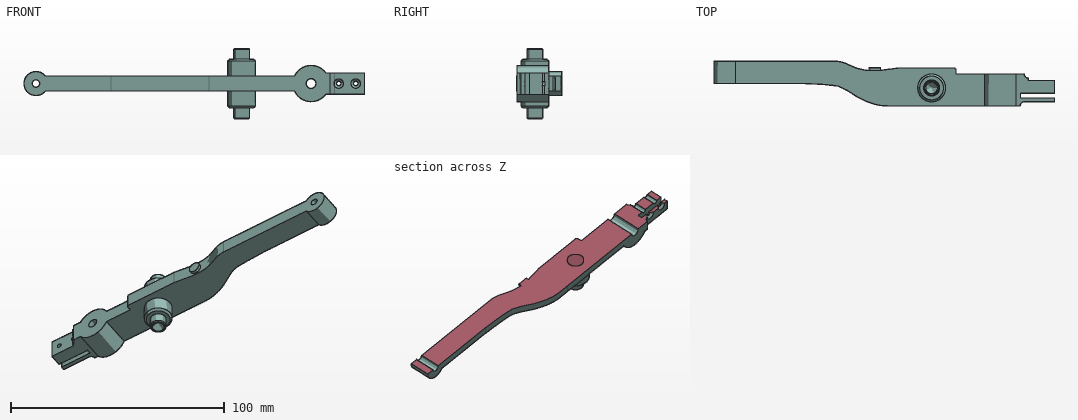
import cadquery as cq
import math

length = 159.5
arm_thickness = 7.2

grip_hub_diameter = 11.3
grip_hub_x = grip_hub_diameter / 2
grip_hole_diameter = 3.3
grip_bottom_y = 10.5
grip_top_y = 21.0
grip_top_end_x = 56.6
grip_bottom_end_x = 40.7

body_start_x = 86.6
body_top_y = 17.9
step_x = 113.4
step_chamfer = 0.8
valley_x = 75.3
valley_y = 16.6

pivot_x = 134.5
pivot_diameter = 17.0
pivot_hole_diameter = 4.5
pivot_top_y = 15.0

tail_height = 10.0
tail_root_x = 143.4
shoulder_radius = 1.9
tail_bottom_y = shoulder_radius
tail_top_y = 12.0
tail_top_root_x = 145.3
slot_start_x = 143.5
slot_bottom_y = 3.8
slot_top_y = 5.9
screw_hole_diameter = 2.0
countersink_diameter = 4.5
countersink_angle = 90
screw_xs = (147.4, 155.3)

button_diameter = 5.5
button_top_y = 18.0
button_embed = 1.6

pin_x = 101.9
pin_y = 8.5
boss_diameter = 13.0
boss_length = 23.0
boss_chamfer = 1.0

pin_diameter = 7.5
pin_length = 33.0
pin_chamfer = 0.5
socket_diameter = 5.5
socket_depth = socket_diameter / 2


def y_cylinder(x, diameter, y_start, y_end):
    """Cylinder along Y, centred on z = 0."""
    return cq.Workplane("XZ", origin=(x, y_start, 0)).circle(diameter / 2).extrude(y_start - y_end)


def make_arm_plate():
    """Flat curved arm from the grip hub to the pivot hub."""
    outline = (
        cq.Workplane("XY", origin=(0, 0, -arm_thickness / 2))
        .moveTo(grip_hub_x, grip_bottom_y)
        .lineTo(grip_bottom_end_x, grip_bottom_y)
        .spline(
            [(51.4, 10.0), (58.2, 9.2), (67.0, 4.3), (77.3, 0.3), (body_start_x, 0)],
            tangents=[(1, 0), (1, 0)],
            includeCurrent=True,
        )
        .lineTo(pivot_x, 0)
        .lineTo(pivot_x, pivot_top_y)
        .lineTo(step_x, pivot_top_y)
        .lineTo(step_x, body_top_y - step_chamfer)
        .lineTo(step_x - step_chamfer, body_top_y)
        .lineTo(body_start_x, body_top_y)
        .spline(
            [(81.3, 17.0), (valley_x, valley_y), (67.0, 17.7), (61.0, 20.3), (grip_top_end_x, grip_top_y)],
            includeCurrent=True,
        )
        .lineTo(grip_hub_x, grip_top_y)
        .close()
    )
    return outline.extrude(arm_thickness)


def make_tail():
    """Tail block with concave shoulders next to the pivot hub and a slot open at its end."""
    mid = 1 - math.sqrt(0.5)
    return (
        cq.Workplane("XY", origin=(0, 0, -tail_height / 2))
        .moveTo(pivot_x, 0)
        .lineTo(tail_root_x, 0)
        .threePointArc(
            (tail_root_x + mid * shoulder_radius, (1 - mid) * shoulder_radius),
            (tail_root_x + shoulder_radius, tail_bottom_y),
        )
        .lineTo(length, tail_bottom_y)
        .lineTo(length, slot_bottom_y)
        .lineTo(slot_start_x, slot_bottom_y)
        .lineTo(slot_start_x, slot_top_y)
        .lineTo(length, slot_top_y)
        .lineTo(length, tail_top_y)
        .lineTo(tail_top_root_x + shoulder_radius, tail_top_y)
        .lineTo(tail_top_root_x + shoulder_radius, pivot_top_y - shoulder_radius)
        .threePointArc(
            (tail_top_root_x + mid * shoulder_radius, pivot_top_y - (1 - mid) * shoulder_radius),
            (tail_top_root_x, pivot_top_y),
        )
        .lineTo(pivot_x, pivot_top_y)
        .close()
        .extrude(tail_height)
    )


def make_screw_cutter(x):
    """Countersunk hole through the tail, its cone starting at the lower Y face."""
    hole = y_cylinder(x, screw_hole_diameter, 0, pivot_top_y)
    radius = countersink_diameter / 2
    cone_depth = radius / math.tan(math.radians(countersink_angle / 2))
    cone = cq.Solid.makeCone(radius, 0, cone_depth, cq.Vector(x, tail_bottom_y, 0), cq.Vector(0, 1, 0))
    return hole.union(cq.Workplane(cone))


def make_pin_bosses():
    return (
        cq.Workplane("XY", origin=(pin_x, pin_y, -boss_length / 2))
        .circle(boss_diameter / 2)
        .extrude(boss_length)
        .edges()
        .chamfer(boss_chamfer)
    )


def make_lever():
    lever = (
        make_arm_plate()
        .union(y_cylinder(grip_hub_x, grip_hub_diameter, grip_bottom_y, grip_top_y))
        .union(y_cylinder(pivot_x, pivot_diameter, 0, pivot_top_y))
        .union(make_tail())
        .union(y_cylinder(valley_x, button_diameter, valley_y - button_embed, button_top_y))
        .union(make_pin_bosses())
    )
    lever = lever.cut(y_cylinder(grip_hub_x, grip_hole_diameter, grip_bottom_y, grip_top_y))
    lever = lever.cut(y_cylinder(pivot_x, pivot_hole_diameter, 0, pivot_top_y))
    for x in screw_xs:
        lever = lever.cut(make_screw_cutter(x))
    pin_hole = (
        cq.Workplane("XY", origin=(pin_x, pin_y, -boss_length / 2))
        .circle(pin_diameter / 2)
        .extrude(boss_length)
    )
    return lever.cut(pin_hole)


def make_pin():
    """Pin with chamfered ends and a conical socket in each end."""
    pin = (
        cq.Workplane("XY", origin=(pin_x, pin_y, -pin_length / 2))
        .circle(pin_diameter / 2)
        .extrude(pin_length)
        .edges()
        .chamfer(pin_chamfer)
    )
    for side in (-1, 1):
        mouth = cq.Vector(pin_x, pin_y, side * pin_length / 2)
        socket = cq.Solid.makeCone(socket_diameter / 2, 0, socket_depth, mouth, cq.Vector(0, 0, -side))
        pin = pin.cut(cq.Workplane(socket))
    return pin


lever = make_lever()
pin = make_pin()

result = cq.Compound.makeCompound([lever.val(), pin.val()])